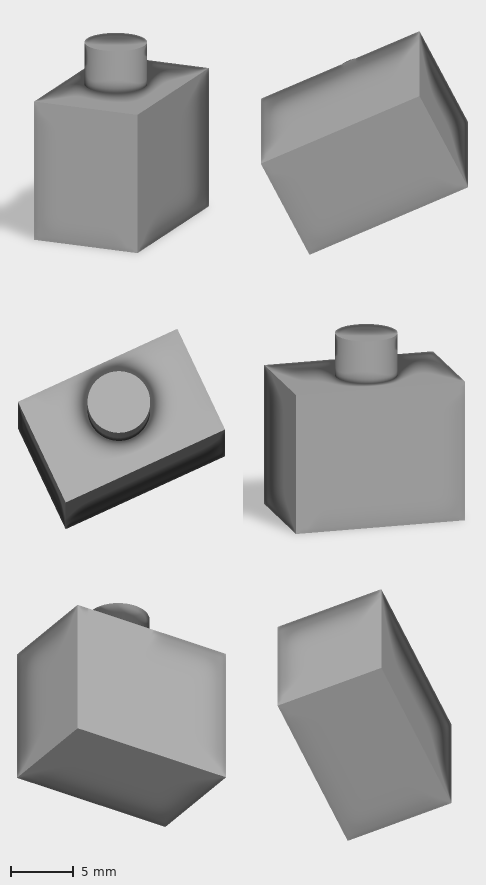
import cadquery as cq

total_height = 15.0
body_width = 9.0
body_depth = 14.0

pin_diameter = 5.0
pin_height = 3.5
pin_offset_x = -0.5

body_height = total_height - pin_height


def make_body():
    """Rectangular block standing on the XY plane, centred on the Z axis."""
    return cq.Workplane("XY").box(body_width, body_depth, body_height, centered=(True, True, False))


def make_pin():
    """Cylinder rising from the top face, off centre towards -X."""
    return (
        cq.Workplane("XY", origin=(pin_offset_x, 0, body_height))
        .circle(pin_diameter / 2)
        .extrude(pin_height)
    )


result = make_body().union(make_pin())